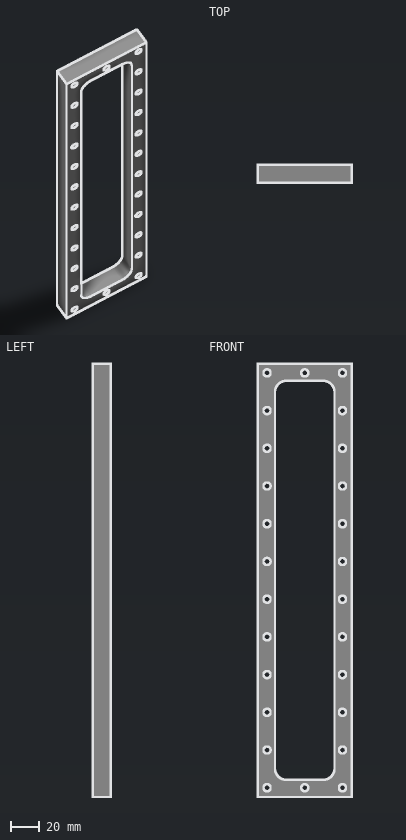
import cadquery as cq

height = 304.8
width = 66.0
thickness = 12.8

rim = 12.2
window_radius = 8.0

hole_diameter = 5.0
hole_pitch = 26.5
columns = 3
rows = 12


def hole_centers():
    """Grid positions on the rim, leaving out those inside the window."""
    centers = []
    for column in range(columns):
        for row in range(rows):
            if column in (0, columns - 1) or row in (0, rows - 1):
                x = (column - (columns - 1) / 2) * hole_pitch
                z = (row - (rows - 1) / 2) * hole_pitch
                centers.append((x, z))
    return centers


def through_prism(size_x, size_z):
    """Rectangular block of the full thickness, centered on the origin."""
    return cq.Workplane("XY").box(size_x, thickness, size_z)


plate = through_prism(width, height)
window = through_prism(width - 2 * rim, height - 2 * rim).edges("|Y").fillet(window_radius)
holes = (
    cq.Workplane("XZ")
    .pushPoints(hole_centers())
    .circle(hole_diameter / 2)
    .extrude(thickness / 2, both=True)
)

result = plate.cut(window).cut(holes)